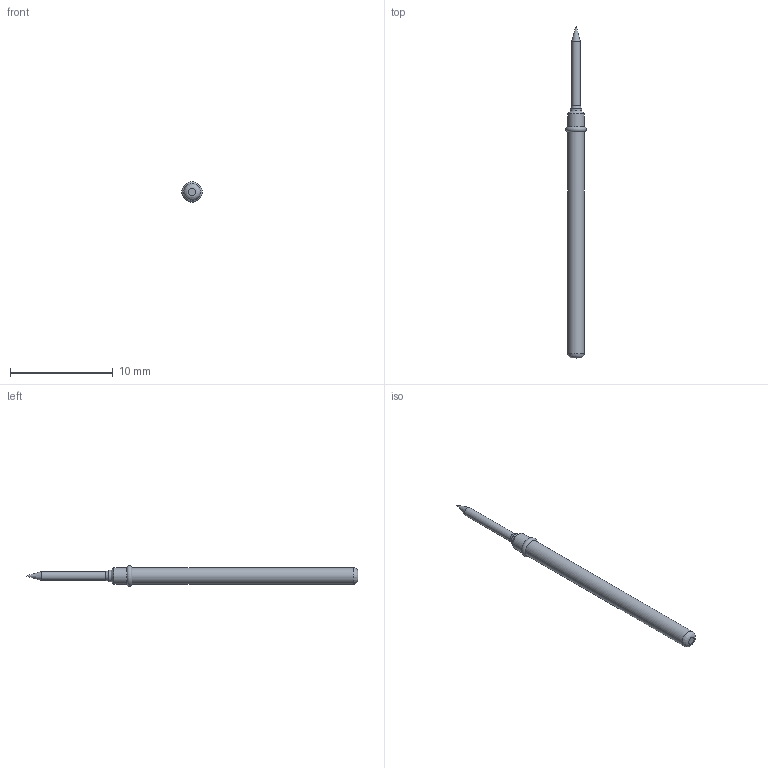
import cadquery as cq

total_length = 32.3

tip_length = 1.5
plunger_radius = 0.43
plunger_end = 7.75
neck_radius = 0.51

collar_radius = 0.56
collar_start = 8.05
collar_end = 8.27
shoulder_end = 8.55

barrel_radius = 0.825
tail_fillet = 0.45

ring_radius = 1.0
ring_width = 0.5
ring_centre = 10.05


def behind_tip(distance):
    """Y position of a section a given distance behind the tip."""
    return total_length - distance


def make_barrel():
    """Barrel with a rounded tail, a conical shoulder and a narrower mouth collar."""
    profile = (
        cq.Workplane("YZ")
        .lineTo(0, barrel_radius - tail_fillet)
        .radiusArc((tail_fillet, barrel_radius), tail_fillet)
        .lineTo(behind_tip(shoulder_end), barrel_radius)
        .lineTo(behind_tip(collar_end), collar_radius)
        .lineTo(behind_tip(collar_start), collar_radius)
        .lineTo(behind_tip(collar_start), 0)
        .close()
    )
    return profile.revolve(360, (0, 0), (1, 0))


def make_press_ring():
    """Raised ring around the barrel with a rounded crown."""
    rear = behind_tip(ring_centre) - ring_width / 2
    front = rear + ring_width
    profile = (
        cq.Workplane("YZ")
        .moveTo(rear, 0)
        .lineTo(rear, barrel_radius)
        .threePointArc((behind_tip(ring_centre), ring_radius), (front, barrel_radius))
        .lineTo(front, 0)
        .close()
    )
    return profile.revolve(360, (0, 0), (1, 0))


def make_plunger():
    """Slim shaft on a slightly flared neck, ending in a sharp cone."""
    profile = (
        cq.Workplane("YZ")
        .moveTo(behind_tip(collar_start), 0)
        .lineTo(behind_tip(collar_start), neck_radius)
        .lineTo(behind_tip(plunger_end), plunger_radius)
        .lineTo(behind_tip(tip_length), plunger_radius)
        .lineTo(total_length, 0)
        .close()
    )
    return profile.revolve(360, (0, 0), (1, 0))


result = make_barrel().union(make_press_ring()).union(make_plunger())